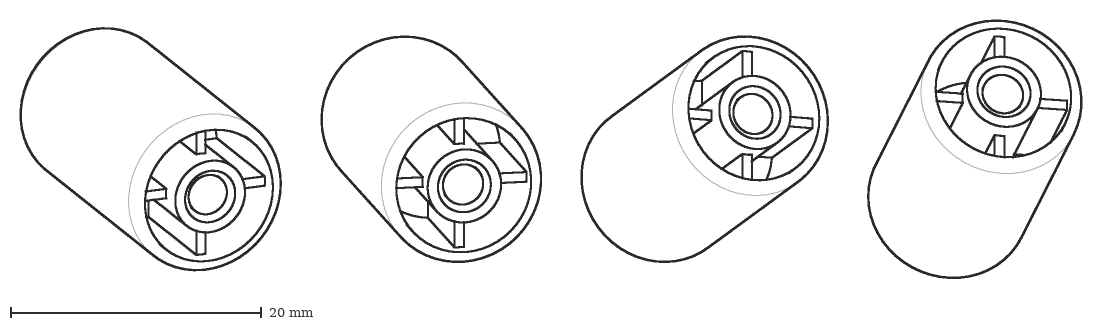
import cadquery as cq

hub_length = 25.5
hub_diameter = 6.0
bore_diameter = 3.3
bore_chamfer = 0.5

hub_overhang = 0.25
shell_diameter = 13.0
shell_inner_diameter = 11.0

rib_thickness = 0.8
rib_setback = 2.0
rib_count = 4
web_thickness = 1.0

shell_length = hub_length - 2 * hub_overhang
rim_radius = (shell_diameter - shell_inner_diameter) / 2
rib_length = hub_length - 2 * rib_setback
bore_mouth_diameter = bore_diameter + 2 * bore_chamfer
wall_middle_radius = (shell_diameter + shell_inner_diameter) / 4


def cylinder(diameter, length):
    """Solid cylinder along X, centred on the origin."""
    return cq.Workplane("YZ", origin=(-length / 2, 0, 0)).circle(diameter / 2).extrude(length)


def make_shell():
    """Outer tube whose walls round off to the inner edge at both ends."""
    body = cylinder(shell_diameter, shell_length).edges().fillet(rim_radius)
    return body.cut(cylinder(shell_inner_diameter, shell_length))


def make_rib(angle):
    """Radial rib running from the axis into the shell wall."""
    rib = cq.Workplane("XY").box(
        rib_length, rib_thickness, wall_middle_radius, centered=(True, True, False)
    )
    return rib.rotate((0, 0, 0), (1, 0, 0), angle)


def make_bore():
    """Through bore with a conical mouth at each end."""
    bore = cylinder(bore_diameter, hub_length)
    for side in (-1, 1):
        mouth = (
            cq.Workplane("YZ", origin=(side * hub_length / 2, 0, 0))
            .circle(bore_mouth_diameter / 2)
            .workplane(offset=-side * bore_chamfer)
            .circle(bore_diameter / 2)
            .loft(ruled=True)
        )
        bore = bore.union(mouth)
    return bore


result = make_shell().union(cylinder(hub_diameter, hub_length))

web_diameter = 2 * wall_middle_radius
result = result.union(cylinder(web_diameter, web_thickness))

for index in range(rib_count):
    result = result.union(make_rib(index * 360 / rib_count))

result = result.cut(make_bore())